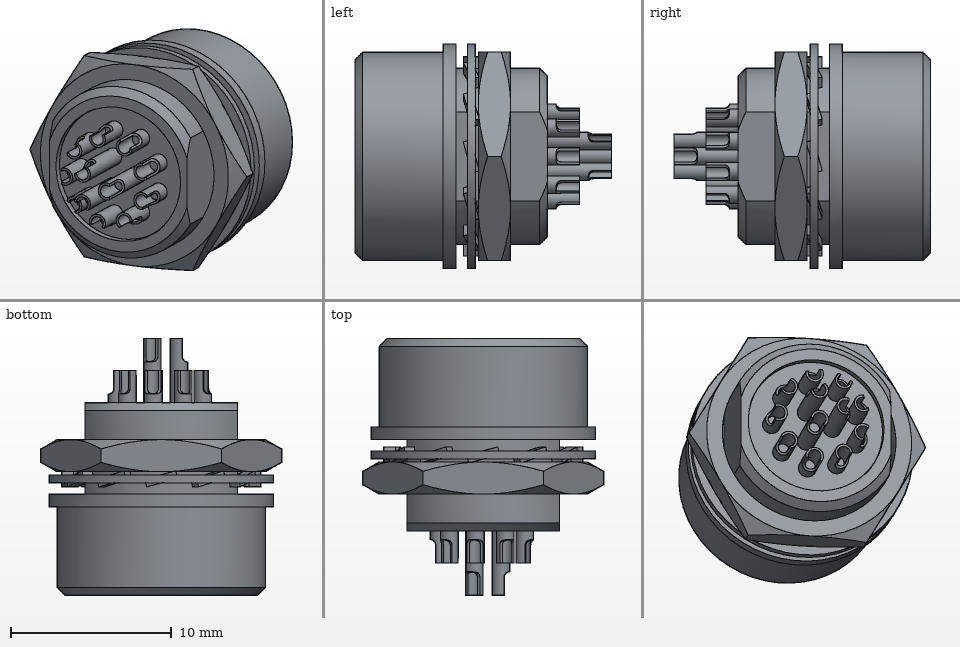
import cadquery as cq
import math


SHELL_RADIUS = 6.5
SHELL_LENGTH = 5.5
SHELL_CHAMFER = 0.5
FLANGE_DIAMETER = 14.0
FLANGE_RADIUS = FLANGE_DIAMETER / 2
FLANGE_THICKNESS = 0.8

BODY_RADIUS = 5.5
BODY_END = 12.0
BODY_CHAMFER = 0.5
FLAT_OFFSET = 4.75
RECESS_RADIUS = 4.3
RECESS_DEPTH = 0.5

WASHER_TOP = 7.0
WASHER_THICKNESS = 0.5
WASHER_RADIUS = FLANGE_RADIUS
TOOTH_COUNT = 12
TOOTH_LENGTH = 2.0
TOOTH_TWIST = 15.0
TOOTH_INNER = 5.47
TOOTH_OUTER = 6.2
TOOTH_ROOT_OVERLAP = 0.2
WASHER_BORE = TOOTH_OUTER - TOOTH_ROOT_OVERLAP

NUT_TOP = 7.7
NUT_THICKNESS = 2.0
NUT_CORNER_DIAMETER = 15.0
NUT_FACE_RADIUS = NUT_CORNER_DIAMETER / 2 * math.cos(math.radians(30))
NUT_CHAMFER_ANGLE = 30.0

CONTACT_DIAMETER = 1.1
CONTACT_RADIUS = CONTACT_DIAMETER / 2
CUP_RADIUS = 0.4
CUP_DEPTH = 2.0
SLOT_LENGTH = 1.47
SLOT_OFFSET = 0.2
OUTER_COUNT = 9
OUTER_RING_RADIUS = 2.75
OUTER_END = 14.0
OUTER_START_ANGLE = 180.0
INNER_COUNT = 3
INNER_RING_RADIUS = 1.1
INNER_END = 16.0
INNER_START_ANGLE = 0.0


def disc(radius, depth, length):
    """Cylinder on the Y axis that starts at a depth and runs toward -Y."""
    plane = cq.Workplane("XZ", origin=(0, -depth, 0))
    return plane.circle(radius).extrude(length)


def spin(shape, angle):
    """Turn a shape about the Y axis, from +X toward +Z."""
    return shape.rotate((0, 0, 0), (0, 1, 0), -angle)


def make_shell():
    shell = disc(SHELL_RADIUS, 0, SHELL_LENGTH).faces(">Y").edges().chamfer(SHELL_CHAMFER)
    return shell.union(disc(FLANGE_RADIUS, SHELL_LENGTH, FLANGE_THICKNESS))


def make_body():
    length = BODY_END - SHELL_LENGTH
    body = disc(BODY_RADIUS, SHELL_LENGTH, length).faces("<Y").edges().chamfer(BODY_CHAMFER)
    between_flats = cq.Workplane("XY").box(2 * FLAT_OFFSET, 2 * BODY_END, 2 * BODY_RADIUS)
    recess = disc(RECESS_RADIUS, BODY_END - RECESS_DEPTH, RECESS_DEPTH)
    return body.intersect(between_flats).cut(recess)


def make_washer():
    washer = disc(WASHER_RADIUS, WASHER_TOP, WASHER_THICKNESS)
    washer = washer.cut(disc(WASHER_BORE, WASHER_TOP, WASHER_THICKNESS))
    middle = -WASHER_TOP - WASHER_THICKNESS / 2
    tooth = (
        cq.Workplane("XY")
        .box(TOOTH_LENGTH, WASHER_THICKNESS, TOOTH_OUTER - TOOTH_INNER)
        .rotate((0, 0, 0), (0, 0, 1), TOOTH_TWIST)
        .translate((0, middle, (TOOTH_INNER + TOOTH_OUTER) / 2))
    )
    for index in range(TOOTH_COUNT):
        washer = washer.union(spin(tooth, index * 360 / TOOTH_COUNT))
    return washer


def make_nut():
    nut_end = NUT_TOP + NUT_THICKNESS
    hexagon = (
        cq.Workplane("XZ", origin=(0, -NUT_TOP, 0))
        .polygon(6, NUT_CORNER_DIAMETER)
        .extrude(NUT_THICKNESS)
    )
    rise = NUT_THICKNESS / 2
    middle_radius = NUT_FACE_RADIUS + rise / math.tan(math.radians(NUT_CHAMFER_ANGLE))
    envelope = (
        cq.Workplane("XY")
        .polyline([
            (0, -NUT_TOP),
            (NUT_FACE_RADIUS, -NUT_TOP),
            (middle_radius, -NUT_TOP - rise),
            (NUT_FACE_RADIUS, -nut_end),
            (0, -nut_end),
        ])
        .close()
        .revolve(360, (0, 0), (0, 1))
    )
    return hexagon.intersect(envelope).cut(disc(BODY_RADIUS, NUT_TOP, NUT_THICKNESS))


def make_contact(ring_radius, end):
    """Contact on the +X side with its solder cup open toward +X."""
    floor = BODY_END - RECESS_DEPTH
    contact = disc(CONTACT_RADIUS, floor, end - floor)
    contact = contact.cut(disc(CUP_RADIUS, end - CUP_DEPTH, CUP_DEPTH))
    root = CONTACT_RADIUS - SLOT_OFFSET
    root_middle = root * math.sqrt(0.5)
    slot_start = SLOT_LENGTH - end
    slot = (
        cq.Workplane("XY")
        .moveTo(SLOT_OFFSET, -end)
        .lineTo(SLOT_OFFSET, slot_start - root)
        .threePointArc(
            (CONTACT_RADIUS - root_middle, slot_start - root + root_middle),
            (CONTACT_RADIUS, slot_start),
        )
        .lineTo(CONTACT_RADIUS, -end)
        .close()
        .extrude(CONTACT_RADIUS, both=True)
    )
    return contact.cut(slot).translate((ring_radius, 0, 0))


def add_contact_ring(part, count, ring_radius, end, start_angle):
    contact = make_contact(ring_radius, end)
    for index in range(count):
        part = part.union(spin(contact, start_angle + index * 360 / count))
    return part


result = make_shell().union(make_body()).union(make_washer()).union(make_nut())
result = add_contact_ring(result, OUTER_COUNT, OUTER_RING_RADIUS, OUTER_END, OUTER_START_ANGLE)
result = add_contact_ring(result, INNER_COUNT, INNER_RING_RADIUS, INNER_END, INNER_START_ANGLE)